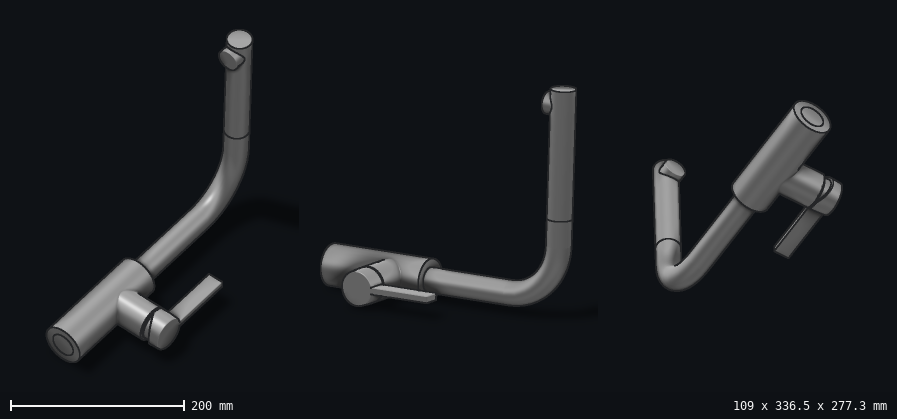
import cadquery as cq
import math


housing_diameter = 50.0
housing_length = 136.0
branch_diameter = 43.0
branch_end = 59.0
branch_position = 90.0
branch_root_fillet = 1.5
neck_diameter = 37.0
neck_length = 2.2

tube_diameter = 30.0
bend_start = 247.5
bend_radius = 67.5
bend_angle = 88.0
tube_leg_length = 32.0

head_diameter = tube_diameter
head_length = 154.7
nozzle_diameter = 27.0
nozzle_reach = 21.0
nozzle_edge_fillet = 0.5
nozzle_from_top = 19.5

cap_start = branch_end + neck_length
cap_end = 84.0
cap_radius = branch_diameter / 2
cap_crown_drop = 0.9
relief_depth = 10.0
lever_width = 20.0
lever_thickness = 8.5
lever_tip = 188.0
handle_edge_fillet = 1.0


def y_cylinder(diameter, length):
    """Cylinder on the housing axis, starting at the base plane."""
    return cq.Workplane("XZ").circle(diameter / 2).extrude(-length)


def branch_cylinder(diameter, start, end):
    """Cylinder on the branch axis between two distances from the housing axis."""
    plane = cq.Workplane("YZ", origin=(start, branch_position, 0))
    return plane.circle(diameter / 2).extrude(end - start)


lean = math.radians(90 - bend_angle)
leg_direction = cq.Vector(0, math.sin(lean), math.cos(lean))
nozzle_direction = cq.Vector(0, -math.cos(lean), math.sin(lean))
bend_end = cq.Vector(0, bend_start + bend_radius * math.cos(lean), bend_radius * (1 - math.sin(lean)))
head_base = bend_end + leg_direction * tube_leg_length
nozzle_center = head_base + leg_direction * (head_length - nozzle_from_top)


def make_housing():
    barrel = y_cylinder(housing_diameter, housing_length)
    body = barrel.union(branch_cylinder(branch_diameter, 0, branch_end))
    root_box = cq.selectors.BoxSelector(
        (0, branch_position - branch_diameter, -housing_diameter),
        (housing_diameter, branch_position + branch_diameter, housing_diameter),
    )
    body = body.edges(root_box).edges("not %LINE").fillet(branch_root_fillet)
    body = body.union(branch_cylinder(neck_diameter, branch_end, cap_start))
    return body.cut(y_cylinder(tube_diameter, housing_length))


def make_tube():
    half_bend = math.radians(bend_angle / 2)
    bend_middle = (
        bend_start + bend_radius * math.sin(half_bend),
        bend_radius * (1 - math.cos(half_bend)),
    )
    path = (
        cq.Workplane("YZ")
        .moveTo(0, 0)
        .lineTo(bend_start, 0)
        .threePointArc(bend_middle, (bend_end.y, bend_end.z))
        .lineTo(head_base.y, head_base.z)
    )
    return cq.Workplane("XZ").circle(tube_diameter / 2).sweep(path)


def make_spray_head():
    barrel = cq.Solid.makeCylinder(head_diameter / 2, head_length, head_base, leg_direction)
    nozzle = cq.Solid.makeCylinder(nozzle_diameter / 2, nozzle_reach, nozzle_center, nozzle_direction)
    rounded_nozzle = cq.Workplane(nozzle).faces("<Y").edges().fillet(nozzle_edge_fillet)
    return cq.Workplane(barrel).union(rounded_nozzle)


def make_cap():
    """Crowned cap turned about the branch axis, its side tangent to that axis at the inner end."""
    cap_length = cap_end - cap_start
    crown_radius = (cap_length**2 + cap_crown_drop**2) / (2 * cap_crown_drop)
    half_angle = math.asin(cap_length / crown_radius) / 2
    crown_middle = (
        crown_radius * math.sin(half_angle),
        cap_radius - crown_radius * (1 - math.cos(half_angle)),
    )
    profile = (
        cq.Workplane("XY", origin=(cap_start, branch_position, 0))
        .lineTo(0, cap_radius)
        .threePointArc(crown_middle, (cap_length, cap_radius - cap_crown_drop))
        .lineTo(cap_length, 0)
        .close()
    )
    return profile.revolve(360, (0, 0, 0), (1, 0, 0)).faces(">X").edges().fillet(handle_edge_fillet)


def make_relief():
    """Wedge on the base side of the cap that leaves the core standing proud of the slanted face."""
    wedge = (
        cq.Workplane("XY", origin=(cap_start, branch_position, 0))
        .lineTo(0, -cap_radius)
        .lineTo(relief_depth, -cap_radius)
        .close()
        .extrude(cap_radius, both=True)
    )
    return wedge.cut(branch_cylinder(neck_diameter, cap_start, cap_end))


def make_lever():
    lever_length = lever_tip - branch_position
    plane = cq.Workplane("XY", origin=(cap_end - lever_width, branch_position, 0))
    bar = plane.box(lever_width, lever_length, lever_thickness, centered=(False, False, True))
    return bar.faces(">X or >Y").edges().fillet(handle_edge_fillet)


def make_handle():
    return make_cap().union(make_lever()).cut(make_relief())


housing = make_housing()
tube = make_tube()
spray_head = make_spray_head()
handle = make_handle()

result = cq.Compound.makeCompound([housing.val(), tube.val(), spray_head.val(), handle.val()])